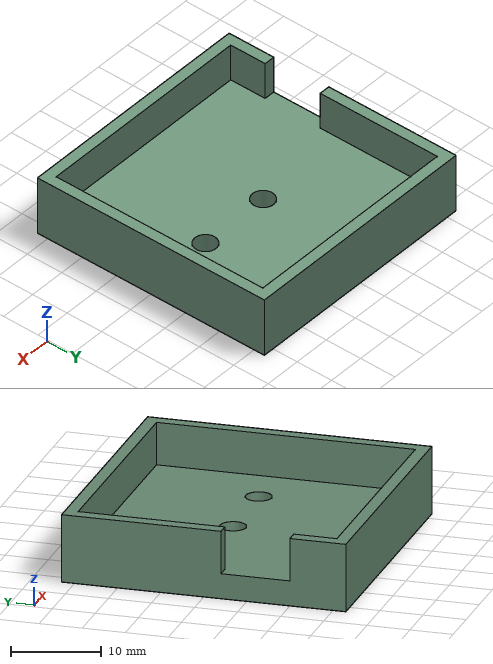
import cadquery as cq

side = 33.0
height = 8.0
wall = 1.5
pocket_depth = 5.0
floor = height - pocket_depth

notch_width = 8.0
notch_center_y = -6.0

hole_diameter = 3.0
hole_centers = [(-1.5, 1.12), (8.5, 1.2)]

tray = cq.Workplane("XY").box(side, side, height, centered=(True, True, False))

inner_side = side - 2 * wall
pocket = (
    cq.Workplane("XY")
    .workplane(offset=floor)
    .rect(inner_side, inner_side)
    .extrude(pocket_depth)
)

notch = (
    cq.Workplane("XY")
    .workplane(offset=floor)
    .center((wall - side) / 2, notch_center_y)
    .rect(wall, notch_width)
    .extrude(pocket_depth)
)

holes = (
    cq.Workplane("XY")
    .pushPoints(hole_centers)
    .circle(hole_diameter / 2)
    .extrude(floor)
)

result = tray.cut(pocket).cut(notch).cut(holes)